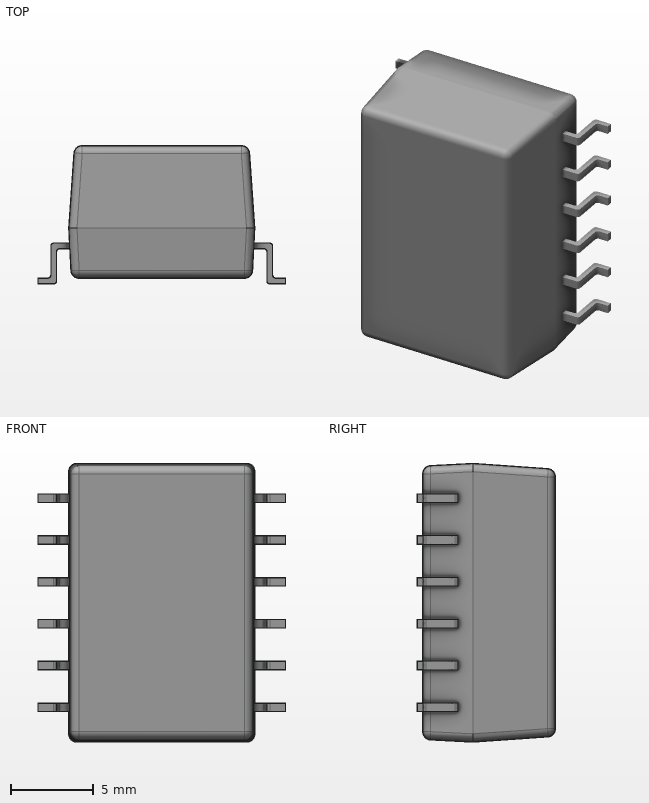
import cadquery as cq
import math

BODY_WIDTH = 11.28
BODY_LENGTH = 16.89
OVERALL_DEPTH = 8.38
REAR_DEPTH = 5.0
FRONT_DEPTH = 3.04
REAR_DRAFT = 4.0
FRONT_DRAFT = 3.0
BODY_FILLET = 0.5

LEAD_COUNT = 6
LEAD_PITCH = 2.53
LEAD_WIDTH = 0.52
LEAD_THICKNESS = 0.35
LEAD_SPAN = 15.0
LEG_OUTER_X = 6.72
SHOULDER_Y = -0.9
FOOT_Y = REAR_DEPTH - OVERALL_DEPTH
BEND_RADIUS = 0.19
LEAD_EMBED = 0.85


def body_half(depth, draft, direction):
    """Drafted block on the +Y (1) or -Y (-1) side, rounded except around the parting plane."""
    end_inset = 2 * depth * math.tan(math.radians(draft))
    block = (
        cq.Workplane("XZ")
        .rect(BODY_WIDTH, BODY_LENGTH)
        .workplane(offset=-direction * depth)
        .rect(BODY_WIDTH - end_inset, BODY_LENGTH - end_inset)
        .loft(ruled=True)
    )
    parting_edges = "<Y" if direction > 0 else ">Y"
    return block.edges(f"not {parting_edges}").fillet(BODY_FILLET)


def right_lead():
    """One lead on the +X side, centred on Z = 0."""
    body_end_x = BODY_WIDTH / 2 - LEAD_EMBED
    leg_inner_x = LEG_OUTER_X - LEAD_THICKNESS
    tip_x = LEAD_SPAN / 2
    profile = [
        (body_end_x, SHOULDER_Y),
        (LEG_OUTER_X, SHOULDER_Y),
        (LEG_OUTER_X, FOOT_Y + LEAD_THICKNESS),
        (tip_x, FOOT_Y + LEAD_THICKNESS),
        (tip_x, FOOT_Y),
        (leg_inner_x, FOOT_Y),
        (leg_inner_x, SHOULDER_Y - LEAD_THICKNESS),
        (body_end_x, SHOULDER_Y - LEAD_THICKNESS),
    ]
    strip = cq.Workplane("XY").polyline(profile).close().extrude(LEAD_WIDTH / 2, both=True)
    leg_corners = cq.selectors.BoxSelector(
        (leg_inner_x - BEND_RADIUS, FOOT_Y - BEND_RADIUS, -LEAD_WIDTH),
        (LEG_OUTER_X + BEND_RADIUS, SHOULDER_Y + BEND_RADIUS, LEAD_WIDTH),
    )
    return strip.edges("|Z").edges(leg_corners).fillet(BEND_RADIUS)


result = body_half(REAR_DEPTH, REAR_DRAFT, 1).union(body_half(FRONT_DEPTH, FRONT_DRAFT, -1))

lead = right_lead()
for index in range(LEAD_COUNT):
    lead_z = (index - (LEAD_COUNT - 1) / 2) * LEAD_PITCH
    placed_lead = lead.translate((0, 0, lead_z))
    result = result.union(placed_lead).union(placed_lead.mirror("YZ"))